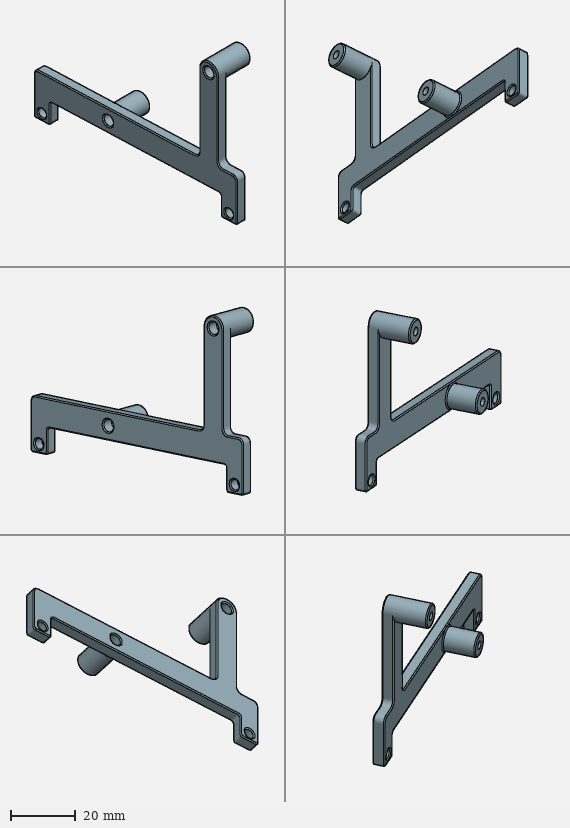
import cadquery as cq

length = 87.1
height = 55.4
thickness = 4.0
bar_bottom = 8.7
bar_top = 18.1
leg_width = 7.0
arm_width = 8.0
arm_x = 74.9

bar_corner_radius = 2.0
leg_corner_radius = 1.0
edge_chamfer = 0.4

total_depth = 14.8
standoff_diameter = arm_width
bar_standoff_x = 31.9
bore_diameter = 4.0
screw_diameter = 2.7
bore_depth = thickness

leg_hole_diameter = 3.4
leg_hole_z = 3.0

arm_tip_z = height - arm_width / 2
bar_middle_z = (bar_bottom + bar_top) / 2
bar_standoff_center = (bar_standoff_x, bar_middle_z)
arm_standoff_center = (arm_x, arm_tip_z)
standoff_centers = [bar_standoff_center, arm_standoff_center]
leg_hole_centers = [(x, leg_hole_z) for x in (leg_width / 2, length - leg_width / 2)]


def disc(center, diameter, start, end, end_diameter=None):
    """Round solid along Y from start to end, conical if end_diameter is given."""
    x, z = center
    start_radius = diameter / 2
    end_radius = (end_diameter or diameter) / 2
    return (
        cq.Workplane("XY")
        .polyline([(0, start), (start_radius, start), (end_radius, end), (0, end)])
        .close()
        .revolve(360, (0, 0), (0, 1))
        .translate((x, 0, z))
    )


def block(x_min, x_max, z_min, z_max):
    """Rectangular piece of the plate, at full thickness."""
    return cq.Workplane("XY").box(
        x_max - x_min, thickness, z_max - z_min, centered=False
    ).translate((x_min, 0, z_min))


def corners(plate, z_min, z_max):
    """Plate corners (edges along Y) whose height lies between z_min and z_max."""
    margin = 0.9
    selector = cq.selectors.BoxSelector(
        (-margin, 0, z_min - margin), (length + margin, thickness, z_max + margin)
    )
    return plate.edges("|Y").edges(selector)


def make_plate():
    """Rounded plate with a full-round arm tip, chamfered on both faces."""
    notch = block(leg_width, length - leg_width, 0, bar_bottom)
    bar = block(0, length, 0, bar_top).cut(notch)
    arm = block(arm_x - arm_width / 2, arm_x + arm_width / 2, bar_bottom, arm_tip_z)
    plate = bar.union(arm)
    plate = corners(plate, bar_top, bar_top).fillet(bar_corner_radius)
    plate = corners(plate, 0, bar_bottom).fillet(leg_corner_radius)
    plate = plate.union(disc(arm_standoff_center, arm_width, 0, thickness))
    return plate.faces("<Y or >Y").chamfer(edge_chamfer)


def make_standoff(center):
    """Round post running through the plate, chamfered at its free end."""
    chamfer_start = total_depth - edge_chamfer
    tip_diameter = standoff_diameter - 2 * edge_chamfer
    shaft = disc(center, standoff_diameter, edge_chamfer, chamfer_start)
    tip = disc(center, standoff_diameter, chamfer_start, total_depth, tip_diameter)
    return shaft.union(tip)


def make_root(center):
    """Small flare where a standoff meets the plate."""
    base_diameter = standoff_diameter + 2 * edge_chamfer
    return disc(center, base_diameter, thickness, thickness + edge_chamfer, standoff_diameter)


def countersink(center, diameter):
    """Chamfer of a hole at the front face."""
    return disc(center, diameter + 2 * edge_chamfer, 0, edge_chamfer, diameter)


def screw_hole(center):
    """Wide bore from the front with a conical step down to the screw hole."""
    cone_end = bore_depth + (bore_diameter - screw_diameter) / 2
    hole = disc(center, screw_diameter, 0, total_depth)
    hole = hole.union(disc(center, bore_diameter, 0, bore_depth))
    hole = hole.union(disc(center, bore_diameter, bore_depth, cone_end, screw_diameter))
    return hole.union(countersink(center, bore_diameter))


def leg_hole(center):
    """Through hole chamfered at both faces of the plate."""
    hole = disc(center, leg_hole_diameter, 0, thickness)
    rim_diameter = leg_hole_diameter + 2 * edge_chamfer
    back_chamfer = disc(
        center, leg_hole_diameter, thickness - edge_chamfer, thickness, rim_diameter
    )
    return hole.union(countersink(center, leg_hole_diameter)).union(back_chamfer)


result = make_plate()
for center in standoff_centers:
    result = result.union(make_standoff(center))
result = result.union(make_root(bar_standoff_center))
for center in standoff_centers:
    result = result.cut(screw_hole(center))
for center in leg_hole_centers:
    result = result.cut(leg_hole(center))